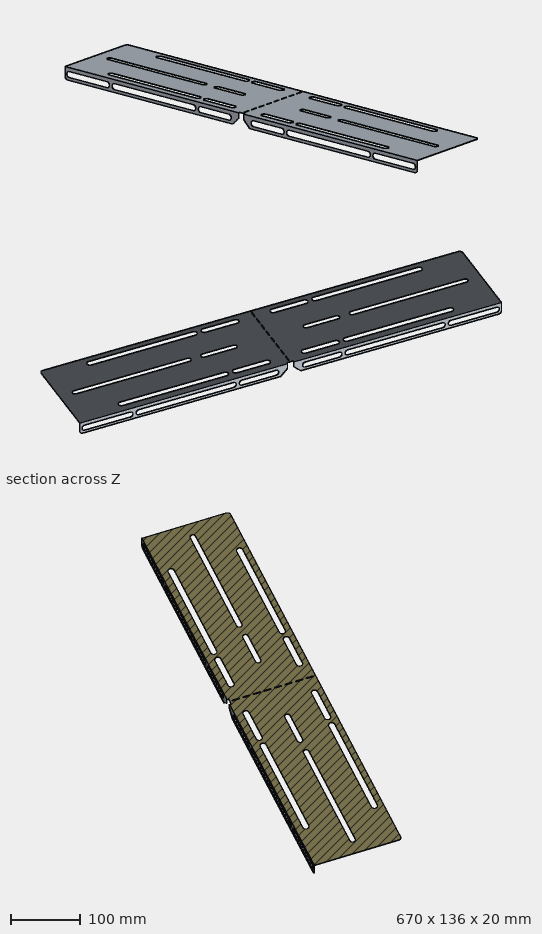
import cadquery as cq

LENGTH = 670.0
WIDTH = 136.0
HEIGHT = 20.0
THICKNESS = 1.0
CORNER_RADIUS = 5.0

NOTCH_WIDTH = 10.0
NOTCH_DEPTH = 3.0
FLANGE_CHAMFER = 11.0

WEB_MIDDLE_Y = (WIDTH + NOTCH_DEPTH) / 2

PERFORATION_COUNT = 8
PERFORATION_LENGTH = 10.5
PERFORATION_WIDTH = 1.0
PERFORATION_PITCH = 16.4

OUTER_ROW_OFFSET = 53.0
OUTER_SLOT_WIDTH = 9.0
OUTER_SLOT_SPANS = [(25.0, 84.5), (91.5, 266.0)]
MIDDLE_SLOT_WIDTH = 8.0
MIDDLE_SLOT_SPANS = [(53.0, 110.0), (126.0, 314.0)]

FLANGE_SLOT_Z = -11.0
FLANGE_SLOT_WIDTH = 9.0
FLANGE_SLOT_SPANS = [(19.0, 81.5), (86.5, 245.5), (250.5, 331.5)]

CUT_REACH = 2 * THICKNESS


def make_web():
    web = cq.Workplane("XY").box(LENGTH, WIDTH, THICKNESS, centered=(True, False, False))
    web = web.edges("|Z and >Y").fillet(CORNER_RADIUS)
    return web.translate((0, 0, -THICKNESS))


def make_flange():
    flange = cq.Workplane("XY").box(LENGTH, THICKNESS, HEIGHT, centered=(True, False, False))
    flange = flange.edges("|Y and <Z").fillet(CORNER_RADIUS)
    return flange.translate((0, 0, -HEIGHT))


def make_notch():
    """Cutter for the fold relief, widening to chamfers at the flange's lower edge."""
    inner = NOTCH_WIDTH / 2
    outer = inner + FLANGE_CHAMFER
    chamfer_top = FLANGE_CHAMFER - HEIGHT
    outline = [
        (-inner, 0),
        (inner, 0),
        (inner, chamfer_top),
        (outer, -HEIGHT),
        (-outer, -HEIGHT),
        (-inner, chamfer_top),
    ]
    return cq.Workplane("XZ").polyline(outline).close().extrude(-NOTCH_DEPTH)


def make_perforations():
    """Cutters for the narrow slots lined up along the fold."""
    first_y = WEB_MIDDLE_Y - (PERFORATION_COUNT - 1) / 2 * PERFORATION_PITCH
    points = [(0, first_y + index * PERFORATION_PITCH) for index in range(PERFORATION_COUNT)]
    perforations = cq.Workplane("XY").pushPoints(points)
    perforations = perforations.slot2D(PERFORATION_LENGTH, PERFORATION_WIDTH, 90)
    return perforations.extrude(CUT_REACH, both=True)


def make_slot_row(plane, spans, slot_width, row_position):
    """Cutters for one row of round-ended slots along X, mirrored about the fold line."""
    row = cq.Workplane(plane)
    for near, far in spans:
        centre = (near + far) / 2
        points = [(-centre, row_position), (centre, row_position)]
        row = row.pushPoints(points).slot2D(far - near, slot_width)
    return row.extrude(CUT_REACH, both=True)


result = make_web().union(make_flange())
result = result.cut(make_notch())
result = result.cut(make_perforations())

for row_y in (WEB_MIDDLE_Y - OUTER_ROW_OFFSET, WEB_MIDDLE_Y + OUTER_ROW_OFFSET):
    result = result.cut(make_slot_row("XY", OUTER_SLOT_SPANS, OUTER_SLOT_WIDTH, row_y))
result = result.cut(make_slot_row("XY", MIDDLE_SLOT_SPANS, MIDDLE_SLOT_WIDTH, WEB_MIDDLE_Y))
result = result.cut(make_slot_row("XZ", FLANGE_SLOT_SPANS, FLANGE_SLOT_WIDTH, FLANGE_SLOT_Z))